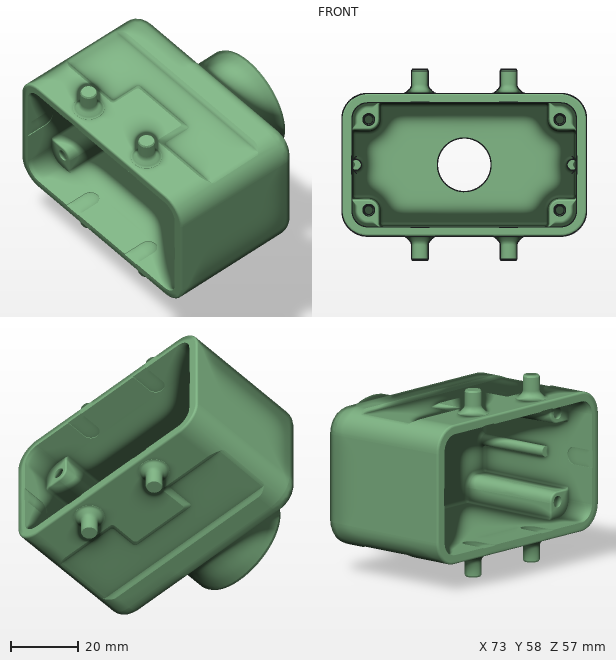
import cadquery as cq
import math


width = 73.0
front_height = 42.6
back_height = 42.1
shell_depth = 45.05
corner_radius = 7.7
back_edge_radius = 4.6
rim_radius = 0.65

wall = 3.0
cavity_depth = shell_depth - wall
cavity_width = 66.9
cavity_height = 37.0
cavity_draft = 0.5
mouth_depth = 10.0
cavity_corner_radius = corner_radius - wall
floor_radius = 0.95

boss_diameter = 34.0
boss_end = 58.0
boss_chamfer_length = 1.0
boss_chamfer_depth = 0.5
boss_base_radius = 0.9
entry_diameter = 15.9

pin_x = 13.2
pin_y = 6.35
pin_diameter = 5.05
pin_radius = pin_diameter / 2
pin_span = 57.0
pin_tip = pin_span / 2
pin_chamfer_length = 0.5
pin_chamfer_depth = 0.3
pin_neck_radius = 1.75
pin_neck_top = 23.9
pin_foot_radius = 0.95
pin_foot_reach = 4.7

slot_width = 5.3
slot_depth = 0.2
slot_arc_y = 7.0

recess_floor = 20.15
recess_front = 14.75
recess_back = 33.6
recess_slope_run = 1.7
recess_slope_rise = 1.1
recess_end_radius = 2.0
tab_half_width = 11.7
tab_end = 24.7
tab_corner_radius = 2.0

post_x = 28.5
post_z = 13.5
post_front = 9.3
post_front_radius = 3.1
post_base_radius = 3.65
post_edge_radius = 0.5
post_root_radius = 0.7
screw_hole_diameter = 3.5
screw_hole_end_diameter = 2.6
screw_hole_depth = 11.7

rib_x = 32.3
rib_front = 17.2
rib_front_radius = 1.6
rib_base_radius = 1.75

overshoot = 2.2
seam_tolerance = 0.1

SIGNS = (-1, 1)
CORNERS = [(sx, sz) for sx in SIGNS for sz in SIGNS]


def cylinder_y(diameter, start, end):
    """Cylinder on the Y axis."""
    return cq.Workplane("XZ", origin=(0, start, 0)).circle(diameter / 2).extrude(start - end)


def cone_y(x, z, start, end, start_radius, end_radius):
    """Cone frustum parallel to the Y axis."""
    base = cq.Vector(x, start, z)
    axis = cq.Vector(0, 1, 0)
    return cq.Workplane(cq.Solid.makeCone(start_radius, end_radius, end - start, base, axis))


def fillet_nearest(body, point, radius):
    """Round the edge whose middle lies closest to the point."""
    return body.edges(cq.selectors.NearestToPointSelector(point)).fillet(radius)


def make_shell():
    """Solid outer block: large faces lean inward toward the back, all corners rounded."""
    side_outline = [
        (0, -front_height / 2),
        (shell_depth, -back_height / 2),
        (shell_depth, back_height / 2),
        (0, front_height / 2),
    ]
    shell = cq.Workplane("YZ", origin=(-width / 2, 0, 0)).polyline(side_outline).close().extrude(width)
    long_edges = shell.faces("<X or >X").edges("not(<Y or >Y)")
    shell = long_edges.fillet(corner_radius)
    shell = shell.faces(">Y").edges().fillet(back_edge_radius)
    return shell.faces("<Y").edges().fillet(rim_radius)


def cut_recess(shell, side):
    """Sink the label recess, leaving the raised tab that reaches in from the front."""
    spread = recess_slope_run * overshoot / recess_slope_rise
    slope = math.degrees(math.atan2(recess_slope_run, recess_slope_rise))
    pocket = (
        cq.Workplane("YZ", origin=(-width / 2, 0, 0))
        .moveTo(recess_front, recess_floor)
        .lineTo(recess_back, recess_floor)
        .lineTo(recess_back + spread, recess_floor + overshoot)
        .lineTo(recess_front - spread, recess_floor + overshoot)
        .close()
        .extrude(width)
    )
    tab_start = recess_front - 2 * spread
    tab = (
        cq.Workplane("XY", origin=(0, (tab_start + tab_end) / 2, recess_floor))
        .rect(2 * tab_half_width, tab_end - tab_start)
        .extrude(overshoot, taper=slope)
    )
    pocket = pocket.cut(tab)
    if side < 0:
        pocket = pocket.mirror("XY")
    shell = shell.cut(pocket)
    for sx in SIGNS:
        for edge_y in (recess_front, tab_end):
            corner = (
                sx * (tab_half_width - recess_slope_run / 2),
                edge_y - recess_slope_run / 2,
                side * (recess_floor + recess_slope_rise / 2),
            )
            shell = fillet_nearest(shell, corner, tab_corner_radius)
    for sx in SIGNS:
        floor_end_x = sx * (width - corner_radius) / 2
        floor_end = (floor_end_x, (recess_front + recess_back) / 2, side * recess_floor)
        shell = fillet_nearest(shell, floor_end, recess_end_radius)
    return shell


def make_pin():
    """One locking pin with its flared foot, pointing to +Z: both foot arcs turn through 45 degrees."""
    diagonal = math.sqrt(0.5)
    mid_sin = math.sin(math.pi / 8)
    mid_cos = math.cos(math.pi / 8)
    neck_x = pin_radius + pin_neck_radius * (1 - diagonal)
    neck_z = pin_neck_top - pin_neck_radius * diagonal
    foot_x = pin_foot_reach - pin_foot_radius * diagonal
    foot_z = neck_z - (foot_x - neck_x)
    ground_z = foot_z - pin_foot_radius * (1 - diagonal)
    root_z = recess_floor
    profile = (
        cq.Workplane("XZ")
        .moveTo(0, root_z)
        .lineTo(0, pin_tip)
        .lineTo(pin_radius - pin_chamfer_depth, pin_tip)
        .lineTo(pin_radius, pin_tip - pin_chamfer_length)
        .lineTo(pin_radius, pin_neck_top)
        .threePointArc(
            (pin_radius + pin_neck_radius * (1 - mid_cos), pin_neck_top - pin_neck_radius * mid_sin),
            (neck_x, neck_z),
        )
        .lineTo(foot_x, foot_z)
        .threePointArc(
            (pin_foot_reach - pin_foot_radius * mid_sin, ground_z + pin_foot_radius * (1 - mid_cos)),
            (pin_foot_reach, ground_z),
        )
        .lineTo(pin_foot_reach, root_z)
        .close()
    )
    return profile.revolve(360, (0, 0, 0), (0, 1, 0))


def tapered_block(centre, size, radius, start, end, inset):
    """Rounded block along Y whose sides lean inward by inset between start and end."""
    x, z = centre
    length = end - start
    taper = math.degrees(math.atan2(inset, abs(length)))
    outline = cq.Sketch().rect(*size).vertices().fillet(radius)
    return cq.Workplane("XZ", origin=(x, start, z)).placeSketch(outline).extrude(-length, taper=taper)


def make_post(sx, sz):
    """Corner post: a tapered block with one rounded corner inside the cavity."""
    size = 4 * post_base_radius
    centre = (
        sx * (post_x + size / 2 - post_base_radius),
        sz * (post_z + size / 2 - post_base_radius),
    )
    inset = post_base_radius - post_front_radius
    return tapered_block(centre, (size, size), post_base_radius, shell_depth, post_front, inset)


def make_cavity():
    """Hollow of the shell: straight mouth, tapered inner part, less the posts and ribs."""
    size = (cavity_width, cavity_height)
    mouth = tapered_block((0, 0), size, cavity_corner_radius, 0, mouth_depth, 0)
    cavity = tapered_block((0, 0), size, cavity_corner_radius, mouth_depth, cavity_depth, cavity_draft)
    cavity = cavity.union(mouth)
    for sx, sz in CORNERS:
        cavity = cavity.cut(make_post(sx, sz))
    for sx, sz in CORNERS:
        middle = (post_front + cavity_depth) / 2
        reach = (post_base_radius + post_front_radius) / 2
        roots = (
            (sx * (post_x - reach), middle, sz * cavity_height / 2),
            (sx * cavity_width / 2, middle, sz * (post_z - reach)),
        )
        for root in roots:
            cavity = fillet_nearest(cavity, root, post_root_radius)
    for sx in SIGNS:
        rib = cone_y(sx * rib_x, 0, rib_front, shell_depth, rib_front_radius, rib_base_radius)
        cavity = cavity.cut(rib)
    cavity = cavity.faces(">Y").edges().fillet(floor_radius)
    for sx, sz in CORNERS:
        reach = post_front_radius * math.sqrt(0.5)
        front_edge = (sx * (post_x - reach), post_front, sz * (post_z - reach))
        cavity = fillet_nearest(cavity, front_edge, post_edge_radius)
    return cavity


def make_slot(span):
    """Round-ended bar along Y that sinks into two opposite walls a given span apart."""
    half_span = span / 2 + slot_depth
    return (
        cq.Workplane("XY", origin=(0, 0, -half_span))
        .moveTo(-slot_width / 2, 0)
        .lineTo(slot_width / 2, 0)
        .lineTo(slot_width / 2, slot_arc_y)
        .threePointArc((0, slot_arc_y + slot_width / 2), (-slot_width / 2, slot_arc_y))
        .close()
        .extrude(2 * half_span)
    )


def add_boss(shell):
    """Cable entry boss on the back face with a chamfered end and a rounded base."""
    boss = cylinder_y(boss_diameter, shell_depth - overshoot, boss_end)
    boss = boss.faces(">Y").chamfer(boss_chamfer_length, boss_chamfer_depth)
    shell = shell.union(boss)
    reach = boss_diameter / 2 + seam_tolerance
    base_seam = cq.selectors.BoxSelector(
        (-reach, shell_depth - seam_tolerance, -reach),
        (reach, shell_depth + seam_tolerance, reach),
        boundingbox=True,
    )
    return shell.edges(base_seam).fillet(boss_base_radius)


body = make_shell()
for side in SIGNS:
    body = cut_recess(body, side)
body = add_boss(body)

pin = make_pin()
for sx in SIGNS:
    upper_pin = pin.translate((sx * pin_x, pin_y, 0))
    body = body.union(upper_pin).union(upper_pin.mirror("XY"))

body = body.cut(make_cavity())

for sx in SIGNS:
    body = body.cut(make_slot(cavity_height).translate((sx * pin_x, 0, 0)))
body = body.cut(make_slot(cavity_width).rotate((0, 0, 0), (0, 1, 0), 90))

screw_hole_end = post_front + screw_hole_depth
for sx, sz in CORNERS:
    screw_hole = cone_y(
        sx * post_x,
        sz * post_z,
        post_front,
        screw_hole_end,
        screw_hole_diameter / 2,
        screw_hole_end_diameter / 2,
    )
    body = body.cut(screw_hole)

result = body.cut(cylinder_y(entry_diameter, 0, boss_end))